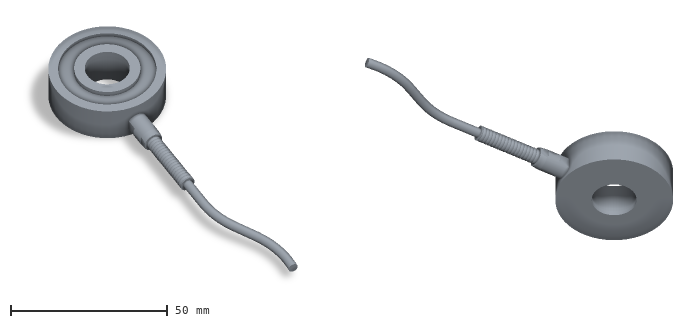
import cadquery as cq
import math

body_diameter = 37.6
rim_height = 12.3
bore_diameter = 14.3
hub_diameter = 21.2
hub_height = 12.7
groove_diameter = 31.4
groove_floor_height = 10.9
overall_length = 117.5

axis_height = 4.7
gland_diameter = 7.0
gland_root_x = 17.6
taper_start_x = 26.9
gland_end_x = 29.1
gland_tip_diameter = 6.5
root_flats_width = 6.0
root_flats_end_x = 22.3
tip_flats_width = 6.2
tip_flats_start_x = 26.6

rib_crest_diameter = 5.0
rib_valley_diameter = 4.7
rib_pitch = 1.16
full_rib_count = 18
rib_start_x = 29.0

cable_diameter = 3.2
cable_start_x = 48.2
first_bend_x = 60.5
first_bend_radius = 26.6
bend_angle = 30.0
middle_length = 7.8
second_bend_radius = 27.6
end_angle = -6.0
bend_plane_tilt = 6.2


def make_body():
    """Round body with a raised hub and a ring groove around it."""
    rim = cq.Workplane("XY").circle(body_diameter / 2).extrude(rim_height)
    groove = (
        cq.Workplane("XY")
        .workplane(offset=groove_floor_height)
        .circle(groove_diameter / 2)
        .extrude(rim_height - groove_floor_height)
    )
    hub = cq.Workplane("XY").circle(hub_diameter / 2).extrude(hub_height)
    return rim.cut(groove).union(hub)


def make_bore():
    """Through bore, cut last along the body axis."""
    return cq.Workplane("XY").circle(bore_diameter / 2).extrude(hub_height)


def turn_about_gland_axis(profile):
    """Close an (X, radius) profile and revolve it about the gland axis."""
    return profile.close().revolve(360, (0, 0, 0), (1, 0, 0))


def gland_workplane():
    return cq.Workplane("XZ", origin=(0, 0, axis_height))


def cut_flats(solid, start_x, end_x, width):
    """Cut two flats, facing -Y and +Y, between two X positions."""
    length = end_x - start_x
    for side in (-1, 1):
        center = ((start_x + end_x) / 2, side * (width + gland_diameter) / 2, axis_height)
        cutter = cq.Workplane("XY", origin=center).box(length, gland_diameter, gland_diameter)
        solid = solid.cut(cutter)
    return solid


def make_gland():
    """Cylinder with a tapered tip and a pair of flats at each end."""
    gland = turn_about_gland_axis(
        gland_workplane()
        .moveTo(gland_root_x, 0)
        .lineTo(gland_root_x, gland_diameter / 2)
        .lineTo(taper_start_x, gland_diameter / 2)
        .lineTo(gland_end_x, gland_tip_diameter / 2)
        .lineTo(gland_end_x, 0)
    )
    gland = cut_flats(gland, gland_root_x, root_flats_end_x, root_flats_width)
    return cut_flats(gland, tip_flats_start_x, gland_end_x, tip_flats_width)


def make_strain_relief():
    """Row of round ribs that ends on the crest of a half rib."""
    crest = rib_crest_diameter / 2
    valley = rib_valley_diameter / 2
    profile = gland_workplane().moveTo(rib_start_x, 0).lineTo(rib_start_x, valley)
    for rib in range(full_rib_count):
        valley_x = rib_start_x + rib * rib_pitch
        profile = profile.threePointArc((valley_x + rib_pitch / 2, crest), (valley_x + rib_pitch, valley))
    end_x = rib_start_x + (full_rib_count + 0.5) * rib_pitch
    rise = crest - valley
    rib_radius = rise / 2 + rib_pitch**2 / (8 * rise)
    profile = profile.radiusArc((end_x, crest), rib_radius)
    return turn_about_gland_axis(profile.lineTo(end_x, 0))


def arc_points(start, radius, from_angle, to_angle):
    """Middle and end points of an arc whose heading turns between two angles (degrees)."""
    turn = math.copysign(1, to_angle - from_angle)
    points = []
    for heading in ((from_angle + to_angle) / 2, to_angle):
        along = math.sin(math.radians(heading)) - math.sin(math.radians(from_angle))
        across = math.cos(math.radians(from_angle)) - math.cos(math.radians(heading))
        points.append((start[0] + turn * radius * along, start[1] + turn * radius * across))
    return points


def make_cable():
    """Round cable swept along a straight run, two opposite bends and a short straight end."""
    tilt = math.radians(bend_plane_tilt)
    bend_plane = cq.Plane(
        origin=(0, 0, axis_height),
        xDir=(1, 0, 0),
        normal=(0, math.sin(tilt), math.cos(tilt)),
    )
    bend = math.radians(bend_angle)
    end = math.radians(end_angle)

    first_bend_start = (first_bend_x, 0)
    first_bend_middle, first_bend_end = arc_points(first_bend_start, first_bend_radius, 0, bend_angle)
    second_bend_start = (
        first_bend_end[0] + middle_length * math.cos(bend),
        first_bend_end[1] + middle_length * math.sin(bend),
    )
    second_bend_middle, second_bend_end = arc_points(
        second_bend_start, second_bend_radius, bend_angle, end_angle
    )
    tip_x = overall_length - body_diameter / 2 - cable_diameter / 2 * math.sin(abs(end))
    tip_y = second_bend_end[1] + (tip_x - second_bend_end[0]) * math.tan(end)

    path = (
        cq.Workplane(bend_plane)
        .moveTo(cable_start_x, 0)
        .lineTo(*first_bend_start)
        .threePointArc(first_bend_middle, first_bend_end)
        .lineTo(*second_bend_start)
        .threePointArc(second_bend_middle, second_bend_end)
        .lineTo(tip_x, tip_y)
    )
    section = cq.Workplane("YZ", origin=(cable_start_x, 0, axis_height)).circle(cable_diameter / 2)
    return section.sweep(path)


result = (
    make_body()
    .union(make_gland())
    .union(make_strain_relief())
    .union(make_cable())
    .cut(make_bore())
)